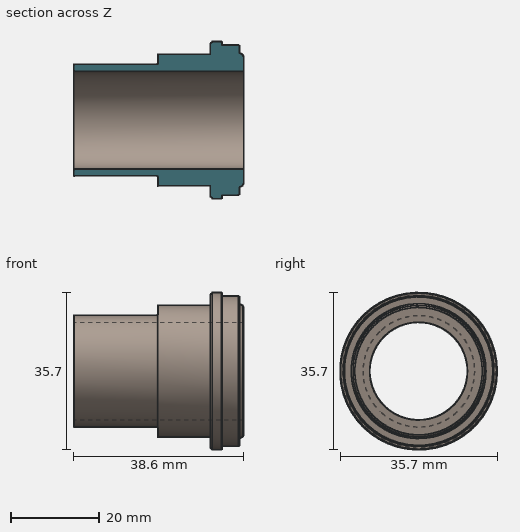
import cadquery as cq

SPIGOT_DIAMETER = 25.4
BODY_DIAMETER = 30.0
FLANGE_DIAMETER = 35.7
COLLAR_DIAMETER = 34.2
LIP_ROOT_DIAMETER = 30.6
LIP_SHOULDER_DIAMETER = 29.8
LIP_END_DIAMETER = 28.9
BORE_DIAMETER = 22.1

SPIGOT_LENGTH = 19.1
BODY_LENGTH = 11.9
FLANGE_LENGTH = 2.7
COLLAR_LENGTH = 3.95
LIP_LENGTH = 0.95
LIP_SHOULDER_LENGTH = 0.7

SPIGOT_END_CHAMFER = 0.1
SPIGOT_ROOT_FILLET = 0.25
FLANGE_FRONT_CHAMFER = 0.5
FLANGE_BACK_CHAMFER = 0.15
COLLAR_END_CHAMFER = 0.27

BODY_START = SPIGOT_LENGTH
FLANGE_START = BODY_START + BODY_LENGTH
COLLAR_START = FLANGE_START + FLANGE_LENGTH
LIP_START = COLLAR_START + COLLAR_LENGTH
TOTAL_LENGTH = LIP_START + LIP_LENGTH


def cylinder(start, length, diameter):
    """Solid round section along X."""
    return cq.Workplane("YZ").workplane(offset=start).circle(diameter / 2).extrude(length)


def spigot_with_root_fillet():
    """Narrow tube, broken at its free end and flared into the body shoulder."""
    spigot = cylinder(0, SPIGOT_LENGTH, SPIGOT_DIAMETER).faces("<X").chamfer(SPIGOT_END_CHAMFER)
    body = cylinder(BODY_START, BODY_LENGTH, BODY_DIAMETER)
    stepped = spigot.union(body)
    shoulder_edges = stepped.faces(">X[-2]").edges()
    return shoulder_edges.edges(cq.selectors.RadiusNthSelector(0)).fillet(SPIGOT_ROOT_FILLET)


def flange():
    """Widest ring, with a larger chamfer on the body side."""
    ring = cylinder(FLANGE_START, FLANGE_LENGTH, FLANGE_DIAMETER)
    ring = ring.faces("<X").chamfer(FLANGE_FRONT_CHAMFER)
    return ring.faces(">X").chamfer(FLANGE_BACK_CHAMFER)


def collar():
    """Ring behind the flange."""
    return cylinder(COLLAR_START, COLLAR_LENGTH, COLLAR_DIAMETER).faces(">X").chamfer(COLLAR_END_CHAMFER)


def lip():
    """Short end ring that tapers gently to a shoulder, then steeply to the end face."""
    half_profile = (
        cq.Workplane("XY")
        .moveTo(LIP_START, 0)
        .lineTo(LIP_START, LIP_ROOT_DIAMETER / 2)
        .lineTo(LIP_START + LIP_SHOULDER_LENGTH, LIP_SHOULDER_DIAMETER / 2)
        .lineTo(TOTAL_LENGTH, LIP_END_DIAMETER / 2)
        .lineTo(TOTAL_LENGTH, 0)
        .close()
    )
    return half_profile.revolve(axisStart=(0, 0, 0), axisEnd=(1, 0, 0))


bore = cylinder(0, TOTAL_LENGTH, BORE_DIAMETER)
result = spigot_with_root_fillet().union(flange()).union(collar()).union(lip()).cut(bore)